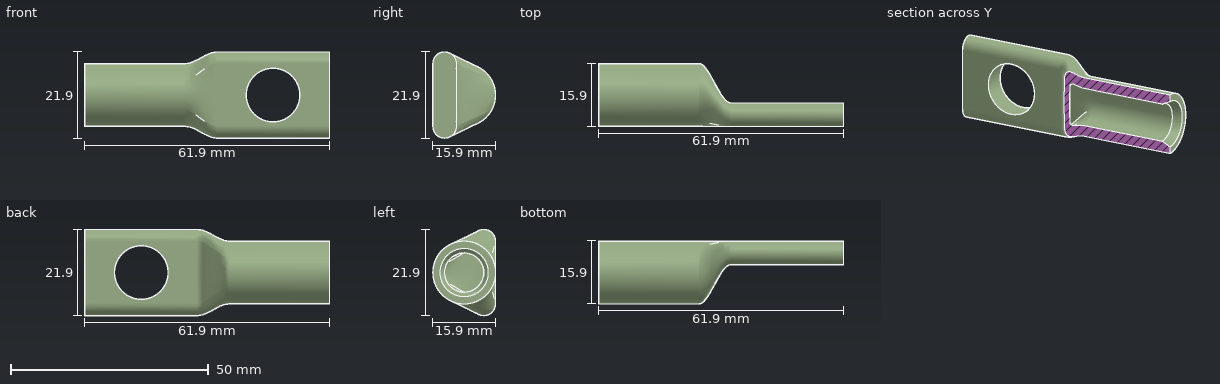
import cadquery as cq
import math


total_length = 61.9
barrel_diameter = 15.9
barrel_length = 25.45
palm_start = 33.3
palm_width = 21.85
bore_diameter = 9.9
mouth_diameter = 12.2
mouth_depth = 2.2
bolt_hole_diameter = 13.5
corner_angle = 30.0
section_count = 9
cavity_end_half_height = 0.03

barrel_radius = barrel_diameter / 2
bore_radius = bore_diameter / 2
wall = barrel_radius - bore_radius
palm_thickness = 2 * wall
palm_center_y = palm_thickness / 2 - barrel_radius
palm_length = total_length - palm_start
palm_flat_half_width = (palm_width - palm_thickness) / 2
neck_length = palm_start - barrel_length


def blend(start, end, amount):
    """Point between two (y, z) points."""
    return tuple(a + (b - a) * amount for a, b in zip(start, end))


def circle_points(radius):
    """Ends and midpoints of four arcs of a circle, alternating around it."""
    angles = [corner_angle, 90, 180 - corner_angle, 180]
    angles += [angle + 180 for angle in (corner_angle, 90, 180 - corner_angle, 180)]
    return [
        (radius * math.cos(math.radians(angle)), radius * math.sin(math.radians(angle)))
        for angle in angles
    ]


def slot_points(half_height):
    """Matching points of the round-ended slot lying in the palm."""
    y, z, r = palm_center_y, palm_flat_half_width, half_height
    return [
        (y + r, z), (y, z + r), (y - r, z), (y - r, 0),
        (y - r, -z), (y, -z - r), (y + r, -z), (y + r, 0),
    ]


def section(x, points, flat_sides):
    """Closed wire of two end arcs joined by arcs or straight sides."""
    corners = [cq.Vector(x, y, z) for y, z in points]
    edges = []
    for start in range(0, 8, 2):
        middle = corners[start + 1]
        end = corners[(start + 2) % 8]
        is_side = start in (2, 6)
        if is_side and flat_sides:
            edges.append(cq.Edge.makeLine(corners[start], end))
        else:
            edges.append(cq.Edge.makeThreePointArc(corners[start], middle, end))
    return cq.Wire.assembleEdges(edges)


def neck(radius, end_half_height):
    """Loft from a circle to a slot, leaving and arriving along X."""
    wires = []
    for index in range(section_count):
        t = index / (section_count - 1)
        ease = t * t * (3 - 2 * t)
        points = [
            blend(round_point, slot_point, ease)
            for round_point, slot_point in zip(circle_points(radius), slot_points(end_half_height))
        ]
        is_last = index == section_count - 1
        wires.append(section(barrel_length + t * neck_length, points, is_last))
    return cq.Workplane(cq.Solid.makeLoft(wires))


def barrel():
    return cq.Workplane("YZ").circle(barrel_radius).extrude(barrel_length)


def palm():
    outline = section(palm_start, slot_points(palm_thickness / 2), True)
    blank = cq.Workplane(cq.Solid.extrudeLinear(outline, [], cq.Vector(palm_length, 0, 0)))
    bolt_hole = (
        cq.Workplane("XZ", origin=(palm_start + palm_length / 2, palm_center_y, 0))
        .circle(bolt_hole_diameter / 2)
        .extrude(palm_thickness, both=True)
    )
    return blank.cut(bolt_hole)


def bore():
    """Straight bore with a tapered mouth for guiding the conductor in."""
    half_profile = (
        cq.Workplane("XY")
        .lineTo(0, mouth_diameter / 2)
        .lineTo(mouth_depth, bore_radius)
        .lineTo(barrel_length, bore_radius)
        .lineTo(barrel_length, 0)
        .close()
    )
    return half_profile.revolve(360, (0, 0, 0), (1, 0, 0))


body = barrel().union(neck(barrel_radius, palm_thickness / 2)).union(palm())
result = body.cut(bore()).cut(neck(bore_radius, cavity_end_half_height))